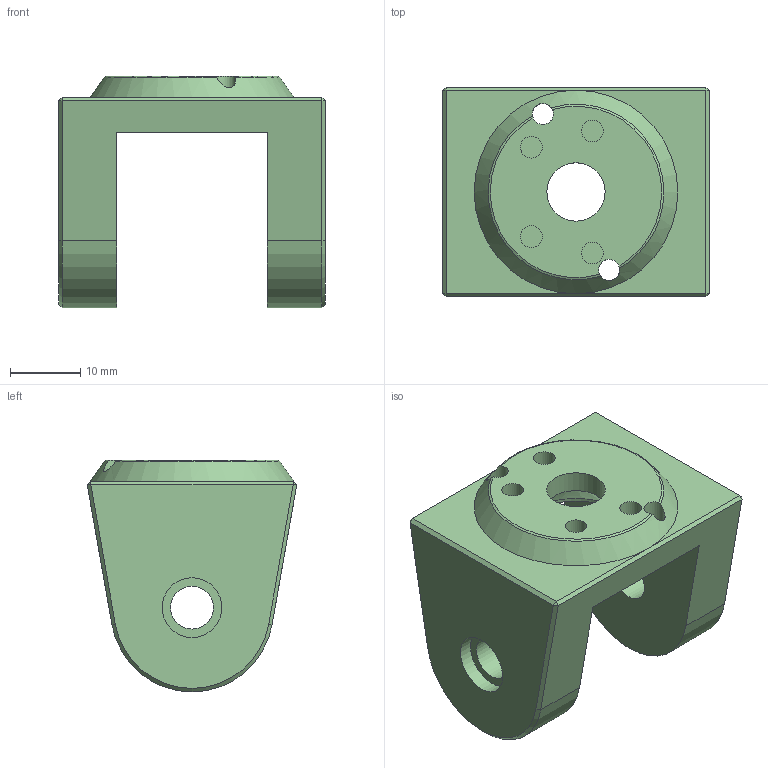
import cadquery as cq
import math

width = 38.0
depth = 29.84
body_height = 30.0
leg_gap = 21.4
bridge_thickness = 5.0
side_taper = math.radians(10)
edge_chamfer = 0.5

boss_height = 3.0
boss_base_radius = 14.5
boss_top_radius = 12.5
boss_chamfer_inset = 0.3
boss_chamfer_drop = 0.15

pin_axis_height = 12.0
pin_diameter = 6.1
pin_recess_diameter = 8.5
pin_recess_depth = 2.0

bore_diameter = 8.3
bore_straight_depth = 3.1
recess_rim_diameter = 17.0
recess_rim_height = 0.5

through_hole_diameter = 3.0
through_hole_circle_radius = 12.05
through_hole_angles = (113, 293)
blind_hole_diameter = 3.1
blind_hole_depth = 3.0
blind_hole_circle_radius = 9.0
blind_hole_angles = (75, 135, 225, 285)

boss_top = body_height + boss_height
bridge_underside = body_height - bridge_thickness

half_depth_at_top = depth / 2 + edge_chamfer * math.sin(side_taper)

leg_end_radius = (
    (half_depth_at_top * math.cos(side_taper) - body_height * math.sin(side_taper))
    / (1 - math.sin(side_taper))
)


def fork_body():
    tangent_y = leg_end_radius * math.cos(side_taper)
    tangent_z = leg_end_radius * (1 - math.sin(side_taper))
    block = (
        cq.Workplane("YZ")
        .moveTo(-half_depth_at_top, body_height)
        .lineTo(-tangent_y, tangent_z)
        .threePointArc((0, 0), (tangent_y, tangent_z))
        .lineTo(half_depth_at_top, body_height)
        .close()
        .extrude(width / 2, both=True)
    )
    block = block.faces("<X or >X or >Z").edges().chamfer(edge_chamfer)
    gap = cq.Workplane("XY").box(leg_gap, 2 * depth, bridge_underside, centered=(True, True, False))
    return block.cut(gap)


def boss():
    return (
        cq.Workplane("XZ")
        .moveTo(0, body_height)
        .lineTo(boss_base_radius, body_height)
        .lineTo(boss_top_radius, boss_top - boss_chamfer_drop)
        .lineTo(boss_top_radius - boss_chamfer_inset, boss_top)
        .lineTo(0, boss_top)
        .close()
        .revolve(360, (0, 0), (0, 1))
    )


def vertical_hole(diameter, bottom, x, y):
    """Cylinder from the given height up to the boss top."""
    return cq.Workplane("XY", origin=(x, y, bottom)).circle(diameter / 2).extrude(boss_top - bottom)


def conical_recess():
    """Recess under the bridge: a straight rim, then a cone that narrows up to the bore."""
    bore_radius = bore_diameter / 2
    rim_radius = recess_rim_diameter / 2
    cone_top = boss_top - bore_straight_depth
    cone_foot = bridge_underside + recess_rim_height
    return (
        cq.Workplane("XZ")
        .moveTo(0, bridge_underside)
        .lineTo(rim_radius, bridge_underside)
        .lineTo(rim_radius, cone_foot)
        .lineTo(bore_radius, cone_top)
        .lineTo(0, cone_top)
        .close()
        .revolve(360, (0, 0), (0, 1))
    )


def pin_cylinder(diameter, start_x, end_x):
    plane = cq.Workplane("YZ", origin=(start_x, 0, pin_axis_height))
    return plane.circle(diameter / 2).extrude(end_x - start_x)


def pin_bore():
    """Bore through both legs with a shallow recess in each outer face."""
    outer_face = width / 2
    recess_floor = outer_face - pin_recess_depth
    bore = pin_cylinder(pin_diameter, -outer_face, outer_face)
    for side in (-1, 1):
        bore = bore.union(pin_cylinder(pin_recess_diameter, side * recess_floor, side * outer_face))
    return bore


def hole_circle(diameter, circle_radius, angles, bottom):
    holes = cq.Workplane("XY")
    for angle in angles:
        x = circle_radius * math.cos(math.radians(angle))
        y = circle_radius * math.sin(math.radians(angle))
        holes = holes.add(vertical_hole(diameter, bottom, x, y))
    return holes.combine()


result = fork_body().union(boss())
result = result.cut(pin_bore())
result = result.cut(vertical_hole(bore_diameter, bridge_underside, 0, 0))
result = result.cut(conical_recess())
result = result.cut(
    hole_circle(through_hole_diameter, through_hole_circle_radius, through_hole_angles, bridge_underside)
)
result = result.cut(
    hole_circle(
        blind_hole_diameter, blind_hole_circle_radius, blind_hole_angles, boss_top - blind_hole_depth
    )
)